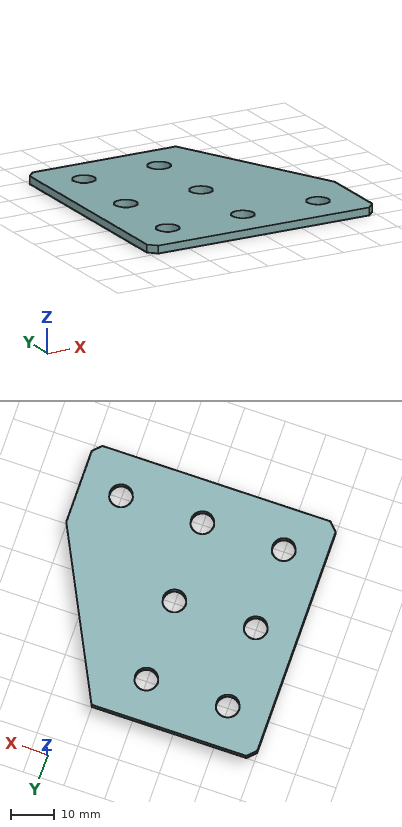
import cadquery as cq

side = 60.0
thickness = 2.0
corner_cut = 2.0
hole_diameter = 5.5
cells_per_side = 3

pitch = side / cells_per_side


def plate():
    """Square plate with three clipped corners and one large sloped corner."""
    outline = [
        (corner_cut, 0),
        (side - corner_cut, 0),
        (side, corner_cut),
        (side, pitch),
        (2 * pitch, side),
        (corner_cut, side),
        (0, side - corner_cut),
        (0, corner_cut),
    ]
    return cq.Workplane("XY").polyline(outline).close().extrude(thickness)


def hole_centres():
    """Cell centres: a full bottom row, then two holes in each row above."""
    holes_per_row = [3, 2, 2]
    return [
        ((column + 0.5) * pitch, (row + 0.5) * pitch)
        for row, count in enumerate(holes_per_row)
        for column in range(count)
    ]


holes = (
    cq.Workplane("XY")
    .pushPoints(hole_centres())
    .circle(hole_diameter / 2)
    .extrude(thickness)
)

result = plate().cut(holes)